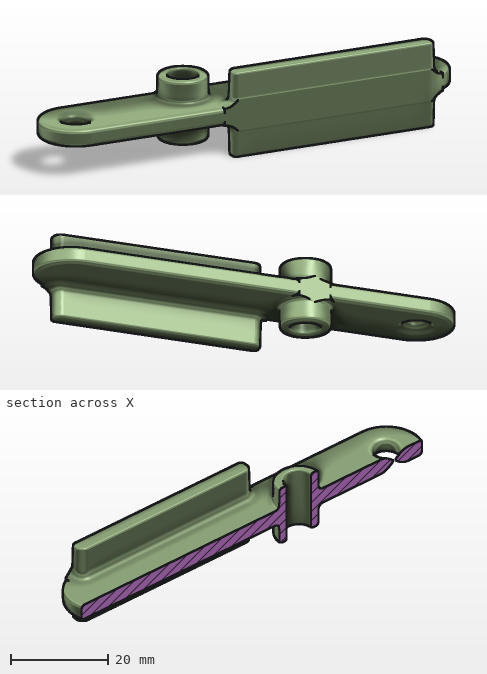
import cadquery as cq
import math

length = 92.1
width = 15.8
thickness = 3.8
edge_radius = 0.9
half_width = width / 2
half_thickness = thickness / 2
edge_z = half_thickness - edge_radius
end_centre_y = length / 2 - half_width

hole_radius = 2.6
hole_y = -end_centre_y

boss_height = 14.0
boss_radius = 5.3
boss_draft = 0.5
boss_x = boss_radius - half_width
boss_y = -12.6
boss_rim_radius = 0.8
boss_root_radius = 1.0
bore_radius = 3.2
bore_rim_radius = 0.55

rail_height = 18.5
rail_width = 3.9
rail_draft = 1.5
rail_inner_corner = 1.9
rail_outer_corner = 1.3
rail_end_y = end_centre_y + rail_inner_corner
rail_start_y = -6.1
rail_root_radius = 1.9
rail_top_radius = 0.55
margin = 0.1


def plate_prism(height):
    return cq.Workplane("XY").slot2D(length, width, 90).extrude(height / 2, both=True)


def make_rail():
    """Upper rail with its concave root flare, clipped to the plate outline."""
    rail_length = rail_end_y - rail_start_y
    rail_x = half_width - rail_width / 2
    rail_y = (rail_end_y + rail_start_y) / 2
    outline = (
        cq.Sketch()
        .push([(rail_x, rail_y)])
        .rect(rail_width, rail_length)
        .reset()
        .vertices("<X")
        .fillet(rail_inner_corner)
        .reset()
        .vertices(">X")
        .fillet(rail_outer_corner)
    )
    rise = rail_height / 2 - half_thickness
    rail = (
        cq.Workplane("XY", origin=(0, 0, half_thickness))
        .placeSketch(outline)
        .extrude(rise, taper=rail_draft)
        .faces(">Z")
        .edges()
        .fillet(rail_top_radius)
    )

    base = (
        cq.Workplane("XY", origin=(rail_x, rail_y, 0))
        .rect(2 * width, 2 * length)
        .extrude(half_thickness)
    )
    root_zone = cq.selectors.BoxSelector(
        (rail_x - rail_width, rail_y - rail_length, half_thickness - margin),
        (rail_x + rail_width, rail_y + rail_length, half_thickness + margin),
    )
    flared_rail = base.union(rail).edges(root_zone).fillet(rail_root_radius)
    footprint = (
        cq.Workplane("XY", origin=(rail_x, rail_y, 0))
        .rect(rail_width + 2 * rail_root_radius, rail_length + 2 * rail_root_radius)
        .extrude(rail_height / 2)
        .edges("|Z and <X")
        .fillet(rail_inner_corner + rail_root_radius)
    )
    return flared_rail.intersect(footprint).intersect(plate_prism(rail_height))


def make_boss():
    """Upper half of the boss, with a concave flare starting on the straight plate edge."""
    top = boss_height / 2
    root_z = half_thickness + boss_root_radius
    top_radius = boss_radius - (top - root_z) * math.tan(math.radians(boss_draft))
    flare_radius = boss_radius + boss_root_radius
    diagonal = math.sqrt(0.5)
    flare_middle = (
        flare_radius - boss_root_radius * diagonal,
        root_z - boss_root_radius * diagonal,
    )
    boss = (
        cq.Workplane("XZ")
        .moveTo(0, edge_z)
        .lineTo(flare_radius, edge_z)
        .lineTo(flare_radius, half_thickness)
        .threePointArc(flare_middle, (boss_radius, root_z))
        .lineTo(top_radius, top)
        .lineTo(0, top)
        .close()
        .revolve(360, (0, 0, 0), (0, 1, 0))
        .faces(">Z")
        .edges()
        .fillet(boss_rim_radius)
    )
    return boss.translate((boss_x, boss_y, 0)).intersect(plate_prism(boss_height))


def make_bore():
    bore = cq.Workplane("XY").circle(bore_radius).extrude(boss_height / 2, both=True)
    mouth = (
        cq.Workplane("XZ")
        .moveTo(0, boss_height / 2)
        .lineTo(bore_radius + bore_rim_radius, boss_height / 2)
        .radiusArc((bore_radius, boss_height / 2 - bore_rim_radius), -bore_rim_radius)
        .lineTo(0, boss_height / 2 - bore_rim_radius)
        .close()
        .revolve(360, (0, 0, 0), (0, 1, 0))
    )
    bore = bore.union(mouth).union(mouth.mirror("XY"))
    return bore.translate((boss_x, boss_y, 0))


def make_lipped_hole():
    """Cutter whose wall is a half-round bulge from face to face."""
    mouth_radius = hole_radius + half_thickness
    cutter = (
        cq.Workplane("XZ")
        .moveTo(0, -half_thickness)
        .lineTo(mouth_radius, -half_thickness)
        .threePointArc((hole_radius, 0), (mouth_radius, half_thickness))
        .lineTo(0, half_thickness)
        .close()
        .revolve(360, (0, 0, 0), (0, 1, 0))
    )
    return cutter.translate((0, hole_y, 0))


plate = plate_prism(thickness).faces("<Z or >Z").edges().fillet(edge_radius)

rail = make_rail()
boss = make_boss()
result = (
    plate.union(rail)
    .union(rail.mirror("XY"))
    .union(boss)
    .union(boss.mirror("XY"))
    .cut(make_bore())
    .cut(make_lipped_hole())
)